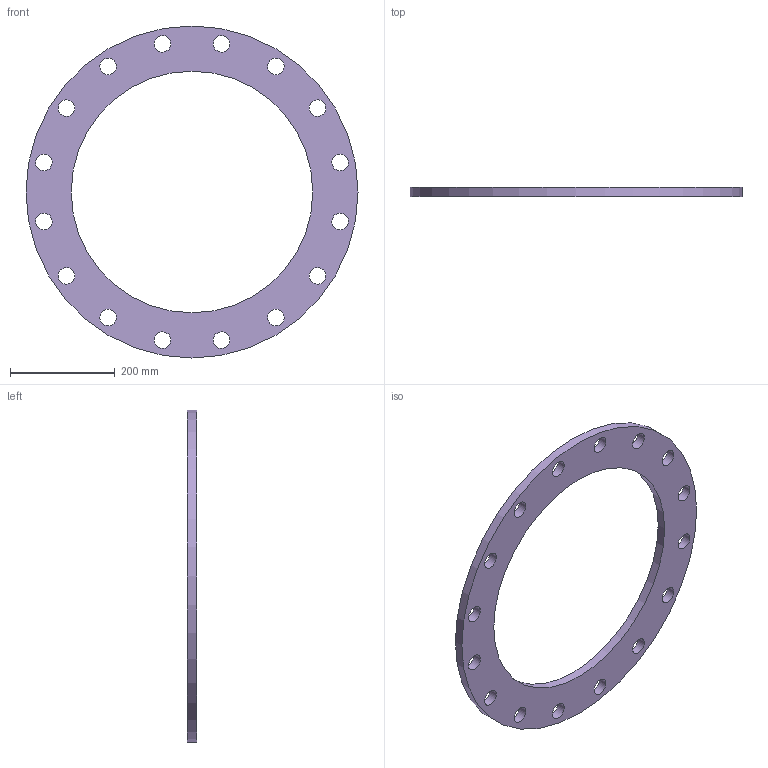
import cadquery as cq

outer_diameter = 635.0
bore_diameter = 462.03
thickness = 17.48

bolt_circle_diameter = 577.85
bolt_hole_diameter = 31.75
bolt_hole_count = 16
first_hole_angle = 360.0 / bolt_hole_count / 2


def rear_face_plane():
    """Workplane on the +Y face; extrusions from it run toward -Y."""
    return cq.Workplane("XZ", origin=(0, thickness / 2, 0))


def ring_body():
    """Flat ring centred on the origin, its faces normal to Y."""
    return (
        rear_face_plane()
        .circle(outer_diameter / 2)
        .circle(bore_diameter / 2)
        .extrude(thickness)
    )


def bolt_hole_cutters():
    """Cylinders for the equally spaced through holes."""
    return (
        rear_face_plane()
        .polarArray(bolt_circle_diameter / 2, first_hole_angle, 360, bolt_hole_count)
        .circle(bolt_hole_diameter / 2)
        .extrude(thickness)
    )


result = ring_body().cut(bolt_hole_cutters())